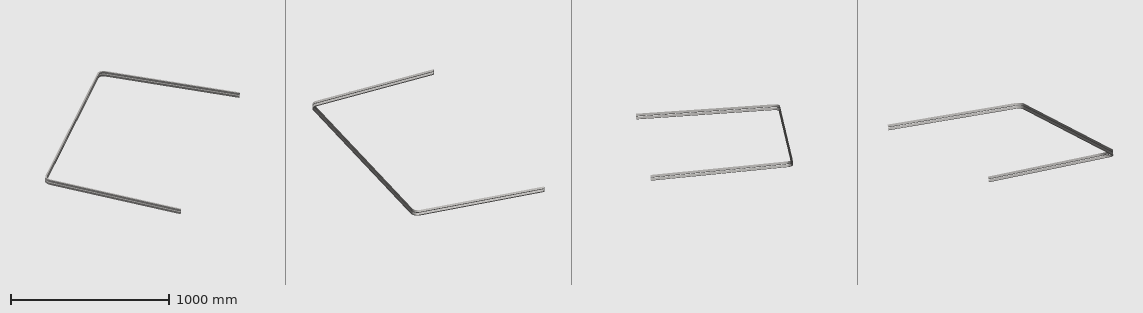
import cadquery as cq
import math

spine_length = 1402.0
reach = 907.0
flare_angle = 3.35
bend_radius = 45.0
rail_width = 10.0
rail_height = 15.0
rail_gap = 5.0

yaw_angle = 6.6
pitch_angle = 4.0

flare = math.radians(flare_angle)
arm_length = reach / math.cos(flare)


def arm_point(distance):
    """Point on the outer face of the +Y arm, at a distance from its corner."""
    return (distance * math.cos(flare), spine_length / 2 + distance * math.sin(flare))


def mirrored(point):
    return (point[0], -point[1])


def outer_path():
    """Outer edge of the frame: arm, bend, spine, bend, arm."""
    half_bend = (math.pi / 2 - flare) / 2
    setback = bend_radius * math.tan(half_bend)
    spine_tangent = (0, spine_length / 2 - setback)
    arm_tangent = arm_point(setback)
    bend_middle = (
        bend_radius * (1 - math.cos(half_bend)),
        spine_tangent[1] + bend_radius * math.sin(half_bend),
    )
    arm_end = arm_point(arm_length)
    return (
        cq.Workplane("XY")
        .moveTo(*mirrored(arm_end))
        .lineTo(*mirrored(arm_tangent))
        .threePointArc(mirrored(bend_middle), mirrored(spine_tangent))
        .lineTo(*spine_tangent)
        .threePointArc(bend_middle, arm_tangent)
        .lineTo(*arm_end)
    )


def make_rail(base_height):
    """One bent rail of solid rectangular section, placed in the tilted frame."""
    end_x, end_y = mirrored(arm_point(arm_length))
    section_plane = cq.Plane(
        origin=(end_x, end_y, 0),
        xDir=(math.sin(flare), math.cos(flare), 0),
        normal=(-math.cos(flare), math.sin(flare), 0),
    )
    rail = (
        cq.Workplane(section_plane)
        .center(rail_width / 2, -base_height - rail_height / 2)
        .rect(rail_width, rail_height)
        .sweep(outer_path())
    )
    return (
        rail
        .rotate((0, 0, 0), (0, 1, 0), pitch_angle)
        .rotate((0, 0, 0), (0, 0, 1), yaw_angle)
    )


lower_rail = make_rail(0)
upper_rail = make_rail(rail_height + rail_gap)

result = cq.Compound.makeCompound([lower_rail.val(), upper_rail.val()])